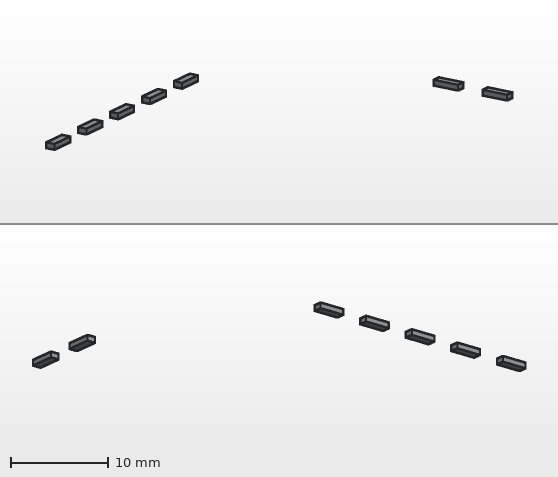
import cadquery as cq

SPAN_X = 31.05
SPAN_Y = 39.95

BAR_LENGTH = 3.0
BAR_WIDTH = 1.0
BAR_HEIGHT = 0.65

BAR_PITCH = 2 * BAR_LENGTH
SIDE_BAR_COUNT = 5
BACK_BAR_COUNT = 2


def make_bar(size_x, size_y, corner_x, corner_y):
    """Plain bar with its lowest corner at (corner_x, corner_y, 0)."""
    return cq.Workplane("XY").box(size_x, size_y, BAR_HEIGHT, centered=False).translate((corner_x, corner_y, 0))


side_bars = []
for index in range(SIDE_BAR_COUNT):
    side_bars.append(make_bar(BAR_WIDTH, BAR_LENGTH, 0, index * BAR_PITCH))

back_bars = []
for index in range(BACK_BAR_COUNT):
    corner_x = SPAN_X - BAR_LENGTH - index * BAR_PITCH
    back_bars.append(make_bar(BAR_LENGTH, BAR_WIDTH, corner_x, SPAN_Y - BAR_WIDTH))

result = cq.Compound.makeCompound([bar.val() for bar in side_bars + back_bars])